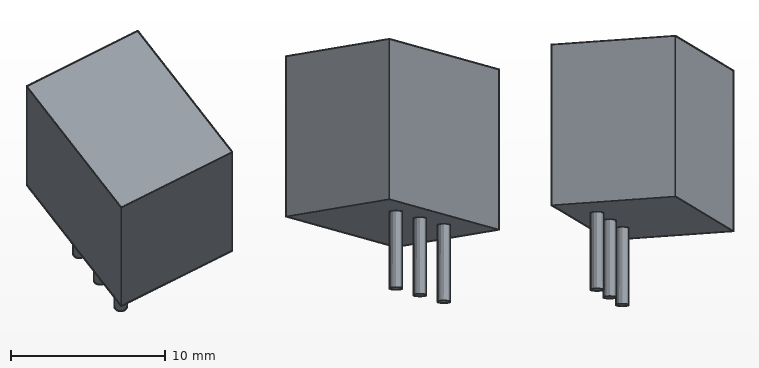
import cadquery as cq

total_height = 15.75
body_width = 11.6
body_depth = 8.5

pin_count = 3
pin_diameter = 0.85
pin_length = 5.09
pin_pitch = 2.54
pin_row_inset = 2.0

body_height = total_height - pin_length
pin_row_y = -body_depth / 2 + pin_row_inset


def make_body():
    """Plain block standing on the XY plane, centred in X and Y."""
    return cq.Workplane("XY").box(body_width, body_depth, body_height, centered=(True, True, False))


def make_pin(x):
    """Round pin hanging from the underside of the body at the given X."""
    return cq.Workplane("XY").center(x, pin_row_y).circle(pin_diameter / 2).extrude(-pin_length)


body = make_body()

pins = []
for index in range(pin_count):
    pin_x = (index - (pin_count - 1) / 2) * pin_pitch
    pins.append(make_pin(pin_x).val())

result = cq.Compound.makeCompound([body.val(), *pins])